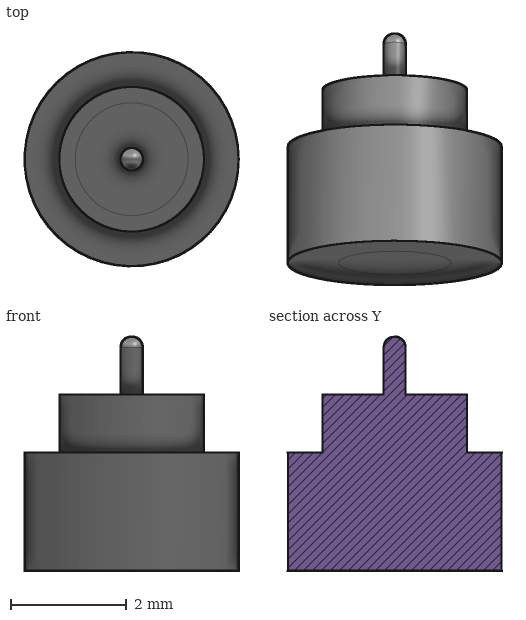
import cadquery as cq

body_diameter = 3.7
body_height = 2.05
collar_diameter = 2.5
collar_height = 1.0
insulator_diameter = 1.95
pin_diameter = 0.39
pin_length = 1.0

pin_radius = pin_diameter / 2
collar_top = body_height + collar_height
pin_top = collar_top + pin_length
bottom = 0.0


def cylinder(diameter, z_from, z_to):
    """Upright cylinder on the Z axis between two heights."""
    return cq.Workplane("XY").workplane(offset=z_from).circle(diameter / 2).extrude(z_to - z_from)


def stepped_shell():
    """Wide body with a narrower collar, bored through for the insulator."""
    body = cylinder(body_diameter, bottom, body_height)
    collar = cylinder(collar_diameter, body_height, collar_top)
    bore = cylinder(insulator_diameter, bottom, collar_top)
    return body.union(collar).cut(bore)


def domed_pin():
    """Contact pin standing on the insulator, with a hemispherical tip."""
    dome_base = pin_top - pin_radius
    shaft = cylinder(pin_diameter, collar_top, dome_base)
    tip = cq.Workplane("XY").sphere(pin_radius).translate((0, 0, dome_base))
    return shaft.union(tip)


insulator = cylinder(insulator_diameter, bottom, collar_top)

result = stepped_shell().union(insulator, clean=False).union(domed_pin(), clean=False)